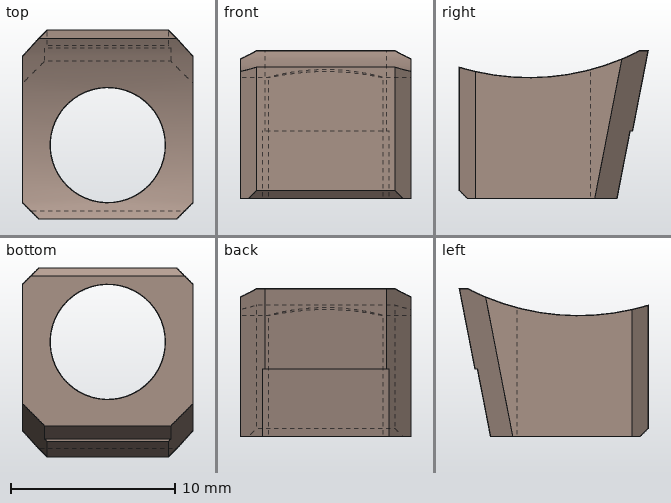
import cadquery as cq
import math

width = 10.4
depth = 11.5
height = 9.0
back_lean = math.tan(math.radians(11))
step_height = 4.09
step_depth = 0.15
top_land = 0.51
front_height = 7.99
saddle_low_y = 4.19
saddle_low_z = 7.36
bore_diameter = 6.99
bore_y = 4.5
front_corner_chamfer = 1.0
front_bottom_chamfer = front_corner_chamfer / 2
back_corner_chamfer = 1.51


def side_profile_block():
    """Block with a concave top and a leaning, stepped back; front face at Y = 0."""
    step_y = depth - back_lean * (height - step_height)
    lower_step_y = step_y - step_depth
    bottom_back_y = lower_step_y - back_lean * step_height
    return (
        cq.Workplane("YZ")
        .moveTo(front_bottom_chamfer, 0)
        .lineTo(bottom_back_y, 0)
        .lineTo(lower_step_y, step_height)
        .lineTo(step_y, step_height)
        .lineTo(depth, height)
        .lineTo(depth - top_land, height)
        .threePointArc((saddle_low_y, saddle_low_z), (0, front_height))
        .lineTo(0, front_bottom_chamfer)
        .close()
        .extrude(width / 2, both=True)
    )


def leaning_envelope():
    """Plan outline with chamfered back corners, swept parallel to the back face."""
    half_width = width / 2
    back_shift = back_lean * height
    back_y = depth - back_shift
    front_y = -back_shift
    outline = cq.Wire.makePolygon(
        [
            cq.Vector(-half_width, front_y, 0),
            cq.Vector(half_width, front_y, 0),
            cq.Vector(half_width, back_y - back_corner_chamfer, 0),
            cq.Vector(half_width - back_corner_chamfer, back_y, 0),
            cq.Vector(-half_width + back_corner_chamfer, back_y, 0),
            cq.Vector(-half_width, back_y - back_corner_chamfer, 0),
        ],
        close=True,
    )
    return cq.Solid.extrudeLinear(outline, [], cq.Vector(0, back_shift, height))


def front_corner(side):
    """Triangular prism removed from one front corner; side is -1 or 1."""
    edge_x = side * width / 2
    return (
        cq.Workplane("XY")
        .polyline([(edge_x, 0), (edge_x - side * front_corner_chamfer, 0), (edge_x, front_corner_chamfer)])
        .close()
        .extrude(height)
    )


block = side_profile_block().intersect(cq.Workplane(obj=leaning_envelope()))
for side in (-1, 1):
    block = block.cut(front_corner(side))

bore = cq.Workplane("XY").center(0, bore_y).circle(bore_diameter / 2).extrude(height)
result = block.cut(bore)